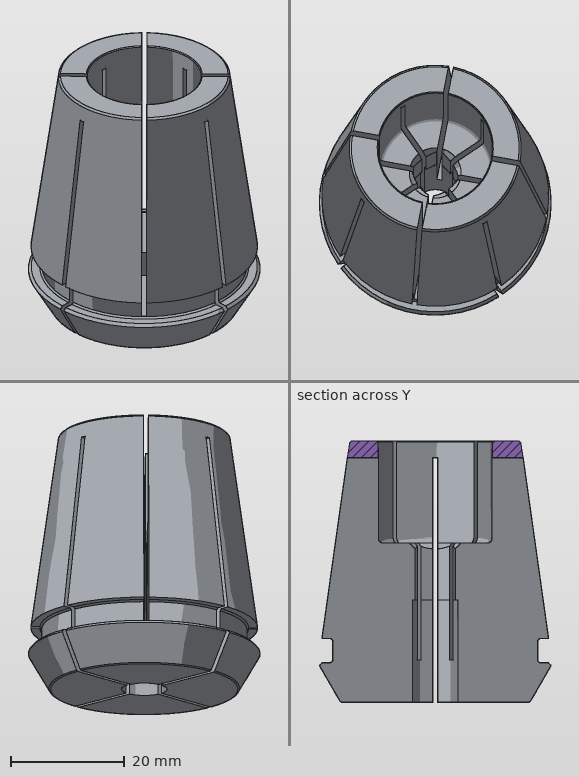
import cadquery as cq
import math

HEIGHT = 46.0
TAPER_ANGLE = 8.0
TAPER_BASE_RADIUS = 19.95
NECK_RADIUS = 18.1
FLANGE_RADIUS = 40.8 / 2
FLANGE_TOP_Z = 7.0
FLANGE_CHAMFER = 0.5
NECK_TOP_Z = 11.22
NECK_CHAMFER = 0.3
NOSE_ANGLE = 30.0
NOSE_EDGE = 0.2
TOP_EDGE = 0.3

CAVITY_RADIUS = 10.05
CAVITY_FLOOR_Z = 28.0
CAVITY_FLOOR_FILLET = 0.9
CAVITY_MOUTH_CHAMFER = 0.2
SHANK_RADIUS = 4.0
SQUARE_SIDE = 7.1
SQUARE_SIDE_ARC_RADIUS = 8.0
SQUARE_BOTTOM_Z = 18.0
LEAD_IN_RADIUS = 4.55
LEAD_IN_DEPTH = 1.0

SLIT_WIDTH = 0.87
FRONT_SLIT_END_Z = 43.0
REAR_SLIT_END_Z = 7.5


def outer_body():
    taper = math.tan(math.radians(TAPER_ANGLE))
    top_radius = TAPER_BASE_RADIUS - (HEIGHT - NECK_TOP_Z) * taper
    rim_z = FLANGE_TOP_Z - FLANGE_CHAMFER
    nose_slope = math.tan(math.radians(NOSE_ANGLE))
    nose_radius = FLANGE_RADIUS - rim_z * nose_slope
    profile = (
        cq.Workplane("XZ")
        .moveTo(0, 0)
        .lineTo(nose_radius - NOSE_EDGE, 0)
        .lineTo(nose_radius + NOSE_EDGE * nose_slope, NOSE_EDGE)
        .lineTo(FLANGE_RADIUS, rim_z)
        .lineTo(FLANGE_RADIUS - FLANGE_CHAMFER, FLANGE_TOP_Z)
        .lineTo(NECK_RADIUS + NECK_CHAMFER, FLANGE_TOP_Z)
        .lineTo(NECK_RADIUS, FLANGE_TOP_Z + NECK_CHAMFER)
        .lineTo(NECK_RADIUS, NECK_TOP_Z - NECK_CHAMFER)
        .lineTo(NECK_RADIUS + NECK_CHAMFER, NECK_TOP_Z)
        .lineTo(TAPER_BASE_RADIUS, NECK_TOP_Z)
        .lineTo(top_radius + TOP_EDGE * taper, HEIGHT - TOP_EDGE)
        .lineTo(top_radius - TOP_EDGE, HEIGHT)
        .lineTo(0, HEIGHT)
        .close()
    )
    return profile.revolve(360, (0, 0, 0), (0, 1, 0))


def rear_cavity():
    cavity = (
        cq.Workplane("XY")
        .workplane(offset=CAVITY_FLOOR_Z)
        .circle(CAVITY_RADIUS)
        .extrude(HEIGHT - CAVITY_FLOOR_Z)
        .faces("<Z")
        .edges()
        .fillet(CAVITY_FLOOR_FILLET)
    )
    mouth = cq.Solid.makeCone(
        CAVITY_RADIUS,
        CAVITY_RADIUS + CAVITY_MOUTH_CHAMFER,
        CAVITY_MOUTH_CHAMFER,
        pnt=cq.Vector(0, 0, HEIGHT - CAVITY_MOUTH_CHAMFER),
    )
    return cavity.union(cq.Workplane(mouth))


def tap_hole():
    shank = cq.Workplane("XY").circle(SHANK_RADIUS).extrude(SQUARE_BOTTOM_Z)
    square = cq.Workplane("XY").circle(SHANK_RADIUS).extrude(CAVITY_FLOOR_Z)
    arc_centre = SQUARE_SIDE_ARC_RADIUS - SQUARE_SIDE / 2
    for x, y in ((1, 0), (0, 1), (-1, 0), (0, -1)):
        side = (
            cq.Workplane("XY")
            .center(x * arc_centre, y * arc_centre)
            .circle(SQUARE_SIDE_ARC_RADIUS)
            .extrude(CAVITY_FLOOR_Z)
        )
        square = square.intersect(side)
    lead_in = cq.Solid.makeCone(
        SQUARE_SIDE / 2,
        LEAD_IN_RADIUS,
        LEAD_IN_DEPTH,
        pnt=cq.Vector(0, 0, CAVITY_FLOOR_Z - LEAD_IN_DEPTH),
    )
    return shank.union(square).union(cq.Workplane(lead_in))


def slit_cross(bottom_z, top_z, angle):
    length = 2 * FLANGE_RADIUS + SLIT_WIDTH
    plane = cq.Workplane("XY").workplane(offset=bottom_z)
    cross = plane.rect(length, SLIT_WIDTH).extrude(top_z - bottom_z)
    cross = cross.union(plane.rect(SLIT_WIDTH, length).extrude(top_z - bottom_z))
    return cross.rotate((0, 0, 0), (0, 0, 1), angle)


result = outer_body().cut(rear_cavity()).cut(tap_hole())
result = result.cut(slit_cross(0, FRONT_SLIT_END_Z, 0))
result = result.cut(slit_cross(REAR_SLIT_END_Z, HEIGHT, 45))